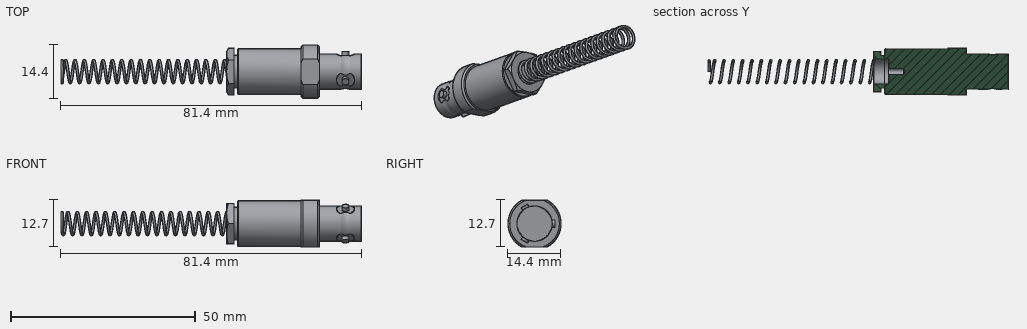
import cadquery as cq
import math


total_length = 81.44
nut_front_x = 44.95
nut_back_x = 47.0
housing_front_x = 47.9
bore_end_x = 49.0
collar_front_x = 65.1
collar_back_x = 70.1
lug_x = 77.15

wire_radius = 0.35
coil_radius = 2.95
coil_pitch = 2.535
end_turn = 0.62
end_turn_start = 0.0
spring_back_x = 46.2

nut_across_flats = 11.0
nut_chamfer_angle = 30.0
neck_radius = 4.5
bore_clearance = 0.02
bore_radius = coil_radius + wire_radius + bore_clearance

barrel_radius = 6.25
barrel_chamfer = 0.25
collar_radius = 14.45 / 2
collar_chamfer = 0.5
collar_across_flats = 12.7
socket_radius = 4.8
cable_hole_radius = 0.75
cable_hole_depth = 4.0
drill_point_angle = 118.0

lug_count = 3
lug_radius = 1.0
lug_tip_radius = 5.5
spotface_radius = 2.45
spotface_depth = 0.43
groove_width = 2.3
groove_depth = 0.2


def cylinder_x(start, end, radius):
    return cq.Workplane("YZ", origin=(start, 0, 0)).circle(radius).extrude(end - start)


def revolve_x(half_profile):
    """Turn a closed profile of (x, radius) points about the X axis."""
    return cq.Workplane("XY").polyline(half_profile).close().revolve(360, (0, 0, 0), (1, 0, 0))


def make_spring():
    """Right-handed coil: a flat part-turn at the free end, then a constant-pitch helix."""
    flat_angle = 360 * end_turn
    helix_start_angle = end_turn_start + flat_angle
    wire_section = cq.Workplane("XY").center(0, coil_radius).circle(wire_radius)
    flat_turn = (
        wire_section.revolve(flat_angle, (0, -coil_radius, 0), (1, -coil_radius, 0))
        .rotate((0, 0, 0), (1, 0, 0), end_turn_start)
    )
    helix_height = spring_back_x - 2 * wire_radius
    helix_path = cq.Wire.makeHelix(coil_pitch, helix_height, coil_radius)
    helix = (
        cq.Workplane("XZ", origin=(coil_radius, 0, 0)).circle(wire_radius)
        .sweep(cq.Workplane(helix_path), isFrenet=True)
        .rotate((0, 0, 0), (0, 1, 0), 90)
        .rotate((0, 0, 0), (1, 0, 0), helix_start_angle + 90)
    )
    joint_angle = math.radians(helix_start_angle)
    joint = cq.Workplane("XY").sphere(wire_radius).translate(
        (0, coil_radius * math.cos(joint_angle), coil_radius * math.sin(joint_angle))
    )
    return flat_turn.union(helix).union(joint).translate((wire_radius, 0, 0))


def make_nut():
    """Hex nut with a chamfered front face, a neck behind it and a bore for the spring."""
    face_radius = nut_across_flats / 2
    corner_radius = face_radius / math.cos(math.radians(30))
    chamfer_length = (corner_radius - face_radius) * math.tan(math.radians(nut_chamfer_angle))
    hexagon = (
        cq.Workplane("YZ", origin=(nut_front_x, 0, 0))
        .polygon(6, 2 * corner_radius).extrude(nut_back_x - nut_front_x)
    )
    chamfer_envelope = revolve_x([
        (nut_front_x, 0),
        (nut_front_x, face_radius),
        (nut_front_x + chamfer_length, corner_radius),
        (nut_back_x, corner_radius),
        (nut_back_x, 0),
    ])
    neck = cylinder_x(nut_back_x, housing_front_x, neck_radius)
    bore = cylinder_x(nut_front_x, housing_front_x, bore_radius)
    return hexagon.intersect(chamfer_envelope).union(neck).cut(bore)


def make_collar():
    """Round chamfered collar with a flat above and below for a spanner."""
    length = collar_back_x - collar_front_x
    collar = cylinder_x(collar_front_x, collar_back_x, collar_radius).edges().chamfer(collar_chamfer)
    flats = (
        cq.Workplane("XY").box(length, 2 * collar_radius, collar_across_flats)
        .translate((collar_front_x + length / 2, 0, 0))
    )
    return collar.intersect(flats)


def radial_cylinder(radius, inner, outer, angle):
    """Cylinder pointing away from the axis at the lugs, `angle` degrees from +Y towards +Z."""
    return (
        cq.Workplane("XZ", origin=(lug_x, inner, 0)).circle(radius).extrude(inner - outer)
        .rotate((0, 0, 0), (1, 0, 0), angle)
    )


def make_socket():
    """Bayonet socket: a shallow round-bottomed groove, and lugs standing on spotfaces."""
    socket = cylinder_x(collar_back_x, total_length, socket_radius)
    groove = (
        cq.Workplane("XY").moveTo(lug_x - groove_width / 2, socket_radius)
        .threePointArc((lug_x, socket_radius - groove_depth), (lug_x + groove_width / 2, socket_radius))
        .close().revolve(360, (0, 0, 0), (1, 0, 0))
    )
    socket = socket.cut(groove)
    spotface_floor = socket_radius - spotface_depth
    lug_root = spotface_floor / 2
    for index in range(lug_count):
        angle = index * 360 / lug_count
        socket = socket.cut(radial_cylinder(spotface_radius, spotface_floor, lug_tip_radius, angle))
        socket = socket.union(radial_cylinder(lug_radius, lug_root, lug_tip_radius, angle))
    return socket


def make_cable_hole():
    """Blind hole in the floor of the bore with a conical drill point."""
    straight_end = bore_end_x + cable_hole_depth
    point_length = cable_hole_radius / math.tan(math.radians(drill_point_angle / 2))
    return revolve_x([
        (bore_end_x, 0),
        (bore_end_x, cable_hole_radius),
        (straight_end, cable_hole_radius),
        (straight_end + point_length, 0),
    ])


def make_housing():
    barrel = cylinder_x(housing_front_x, collar_front_x, barrel_radius).faces("<X").chamfer(barrel_chamfer)
    bore = cylinder_x(housing_front_x, bore_end_x, bore_radius)
    housing = barrel.union(make_collar()).union(make_socket())
    return housing.cut(bore).cut(make_cable_hole())


spring = make_spring()
nut = make_nut()
housing = make_housing()
result = cq.Compound.makeCompound([spring.val(), nut.val(), housing.val()])